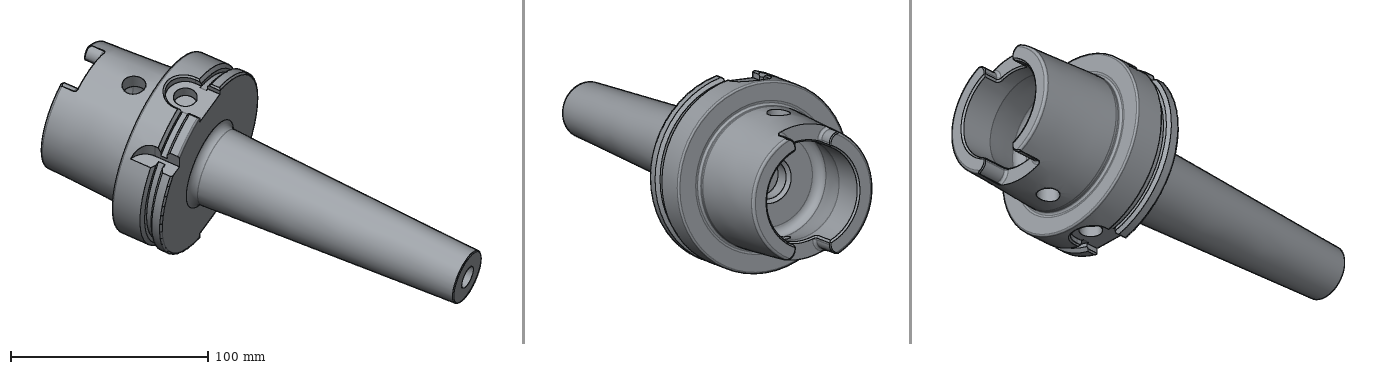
import cadquery as cq
import math


SHANK_LENGTH = 49.95
SHANK_TAPER = 0.05
SHANK_GAUGE_RADIUS = 37.6
SHANK_TIP_FILLET = 1.4
NECK_RADIUS = 37.4
NECK_START_X = -1.9
NECK_RAMP_LENGTH = 1.3
NECK_FILLET = 1.2
FACE_RELIEF_RADIUS = 39.8
FACE_RELIEF_DEPTH = 0.2

FLANGE_RADIUS = 50.0
FLANGE_WIDTH = 29.0
FLANGE_EDGE_FILLET = 1.0
GROOVE_CENTER_X = 20.0
GROOVE_FLOOR_RADIUS = 45.9
GROOVE_FLOOR_WIDTH = 3.75
GROOVE_MOUTH_WIDTH = 6.9
GROOVE_WALL_HEIGHT = 2.1

NOSE_LENGTH = 150.0
NOSE_ROOT_RADIUS = 21.0
NOSE_TIP_RADIUS = 14.6
NOSE_TIP_CHAMFER = 0.5
ROOT_BLEND_LENGTH = 4.7
ROOT_BLEND_RADIUS = 5.0

BORE_RADIUS = 26.5
BORE_DEPTH = 43.0
BORE_MOUTH_CHAMFER = 1.0
BORE_STRAIGHT_LENGTH = 19.4
BORE_FLARE_RADIUS = 29.5
BORE_BOTTOM_FILLET = 5.0
COUNTERBORE_RADIUS = 10.2
COUNTERBORE_DEPTH = 10.0
COUNTERBORE_CHAMFER = 1.9
THROUGH_RADIUS = 6.0

KEYWAY_WIDTH = 20.0
TOP_KEYWAY_DEPTH = 9.8
BOTTOM_KEYWAY_DEPTH = 15.0
KEYWAY_EDGE_RADIUS = 5.2
KEYWAY_CORNER_RADIUS = 1.5
KEYWAY_END_CHAMFER = 0.6
KEYWAY_BORE_CHAMFER = 0.9

CROSS_HOLE_X = -15.2
CROSS_HOLE_RADIUS = 6.0

SLOT_WIDTH = 20.6
SLOT_CENTER_X = 14.7
SLOT_FLOOR_HEIGHT = 45.0
SLOT_CHAMFER = 1.0
SLOT_HOLE_RADIUS = 6.0
SLOT_HOLE_DEPTH = 6.0
NOTCH_OFFSET = 31.3
NOTCH_CUTTER_RADIUS = 10.0

SELECTION_SLACK = 0.1


def shank_radius(x):
    return SHANK_GAUGE_RADIUS + SHANK_TAPER * x


def revolve_about_x(profile):
    return profile.close().revolve(360, (0, 0, 0), (1, 0, 0))


def round_inset(radius):
    """Distance a quarter round's midpoint lies in from each of its two tangent lines."""
    return radius * (1 - math.sqrt(0.5))


def root_blend_rise(distance):
    """Height of the nose root round at a distance back from where it leaves the nose."""
    return ROOT_BLEND_RADIUS - math.sqrt(ROOT_BLEND_RADIUS**2 - distance**2)


def turned_body():
    ramp_start = NECK_START_X - NECK_RAMP_LENGTH
    nose_tip = FLANGE_WIDTH + NOSE_LENGTH
    tip_radius = shank_radius(-SHANK_LENGTH)
    tip_inset = round_inset(SHANK_TIP_FILLET)
    neck_inset = round_inset(NECK_FILLET)
    edge = FLANGE_EDGE_FILLET
    edge_inset = round_inset(edge)
    blend_end = FLANGE_WIDTH + ROOT_BLEND_LENGTH
    blend_half = ROOT_BLEND_LENGTH / 2
    profile = (
        cq.Workplane("XY")
        .moveTo(-SHANK_LENGTH, 0)
        .lineTo(-SHANK_LENGTH, tip_radius - SHANK_TIP_FILLET)
        .threePointArc(
            (-SHANK_LENGTH + tip_inset, tip_radius - tip_inset),
            (-SHANK_LENGTH + SHANK_TIP_FILLET, shank_radius(SHANK_TIP_FILLET - SHANK_LENGTH)),
        )
        .lineTo(ramp_start, shank_radius(ramp_start))
        .lineTo(NECK_START_X, NECK_RADIUS)
        .lineTo(FACE_RELIEF_DEPTH - NECK_FILLET, NECK_RADIUS)
        .threePointArc(
            (FACE_RELIEF_DEPTH - neck_inset, NECK_RADIUS + neck_inset),
            (FACE_RELIEF_DEPTH, NECK_RADIUS + NECK_FILLET),
        )
        .lineTo(0, FACE_RELIEF_RADIUS)
        .lineTo(0, FLANGE_RADIUS - edge)
        .threePointArc((edge_inset, FLANGE_RADIUS - edge_inset), (edge, FLANGE_RADIUS))
        .lineTo(FLANGE_WIDTH - edge, FLANGE_RADIUS)
        .threePointArc(
            (FLANGE_WIDTH - edge_inset, FLANGE_RADIUS - edge_inset),
            (FLANGE_WIDTH, FLANGE_RADIUS - edge),
        )
        .lineTo(FLANGE_WIDTH, NOSE_ROOT_RADIUS + root_blend_rise(ROOT_BLEND_LENGTH))
        .threePointArc(
            (blend_end - blend_half, NOSE_ROOT_RADIUS + root_blend_rise(blend_half)),
            (blend_end, NOSE_ROOT_RADIUS),
        )
        .lineTo(nose_tip - NOSE_TIP_CHAMFER, NOSE_TIP_RADIUS)
        .lineTo(nose_tip, NOSE_TIP_RADIUS - NOSE_TIP_CHAMFER)
        .lineTo(nose_tip, 0)
    )
    return revolve_about_x(profile)


def gripper_groove():
    half_floor = GROOVE_FLOOR_WIDTH / 2
    half_mouth = GROOVE_MOUTH_WIDTH / 2
    wall_top = GROOVE_FLOOR_RADIUS + GROOVE_WALL_HEIGHT
    profile = cq.Workplane("XY").polyline([
        (GROOVE_CENTER_X - half_floor, GROOVE_FLOOR_RADIUS),
        (GROOVE_CENTER_X - half_floor, wall_top),
        (GROOVE_CENTER_X - half_mouth, FLANGE_RADIUS),
        (GROOVE_CENTER_X + half_mouth, FLANGE_RADIUS),
        (GROOVE_CENTER_X + half_floor, wall_top),
        (GROOVE_CENTER_X + half_floor, GROOVE_FLOOR_RADIUS),
    ])
    return revolve_about_x(profile)


def axial_bore():
    bore_end = BORE_DEPTH - SHANK_LENGTH
    counterbore_end = bore_end + COUNTERBORE_DEPTH
    nose_tip = FLANGE_WIDTH + NOSE_LENGTH
    fillet_inset = round_inset(BORE_BOTTOM_FILLET)
    profile = (
        cq.Workplane("XY")
        .moveTo(-SHANK_LENGTH, 0)
        .lineTo(-SHANK_LENGTH, BORE_RADIUS + BORE_MOUTH_CHAMFER)
        .lineTo(-SHANK_LENGTH + BORE_MOUTH_CHAMFER, BORE_RADIUS)
        .lineTo(-SHANK_LENGTH + BORE_STRAIGHT_LENGTH, BORE_RADIUS)
        .lineTo(bore_end - BORE_BOTTOM_FILLET, BORE_FLARE_RADIUS)
        .threePointArc(
            (bore_end - fillet_inset, BORE_FLARE_RADIUS - fillet_inset),
            (bore_end, BORE_FLARE_RADIUS - BORE_BOTTOM_FILLET),
        )
        .lineTo(bore_end, COUNTERBORE_RADIUS + COUNTERBORE_CHAMFER)
        .lineTo(bore_end + COUNTERBORE_CHAMFER, COUNTERBORE_RADIUS)
        .lineTo(counterbore_end, COUNTERBORE_RADIUS)
        .lineTo(counterbore_end, THROUGH_RADIUS)
        .lineTo(nose_tip, THROUGH_RADIUS)
        .lineTo(nose_tip, 0)
    )
    return revolve_about_x(profile)


def keyway(depth):
    """Keyway on the +Z side whose walls flare outward in a round at the outer surface."""
    half_width = KEYWAY_WIDTH / 2
    flare_half_width = half_width + KEYWAY_EDGE_RADIUS
    tip_radius = shank_radius(-SHANK_LENGTH)
    flare_top = math.sqrt(tip_radius**2 - flare_half_width**2)
    flare_base = flare_top - KEYWAY_EDGE_RADIUS
    inset = KEYWAY_EDGE_RADIUS * math.sqrt(0.5)
    outline = (
        cq.Workplane("YZ", origin=(-SHANK_LENGTH, 0, 0))
        .moveTo(-half_width, 0)
        .lineTo(-half_width, flare_base)
        .threePointArc(
            (inset - flare_half_width, flare_base + inset),
            (-flare_half_width, flare_top),
        )
        .lineTo(-flare_half_width, FLANGE_RADIUS)
        .lineTo(flare_half_width, FLANGE_RADIUS)
        .lineTo(flare_half_width, flare_top)
        .threePointArc(
            (flare_half_width - inset, flare_base + inset),
            (half_width, flare_base),
        )
        .lineTo(half_width, 0)
        .close()
    )
    return outline.extrude(depth).faces(">X").edges("not >Z").fillet(KEYWAY_CORNER_RADIUS)


def cross_hole():
    return (
        cq.Workplane("XY", origin=(CROSS_HOLE_X, 0, -FLANGE_RADIUS))
        .circle(CROSS_HOLE_RADIUS)
        .extrude(2 * FLANGE_RADIUS)
    )


def round_ended_cut(center_y, radius, floor_height):
    """Upright cut with a rounded inner end, open toward the nose."""
    height = FLANGE_RADIUS - floor_height
    length = FLANGE_WIDTH - SLOT_CENTER_X
    base = cq.Workplane("XY", origin=(SLOT_CENTER_X, center_y, floor_height))
    run = base.center(length / 2, 0).rect(length, 2 * radius).extrude(height)
    return base.circle(radius).extrude(height).union(run)


def index_notch():
    """Right-angled notch across the (-Y, +Z) rim, ending in the round of its cutter."""
    center_y = -NOTCH_OFFSET - NOTCH_CUTTER_RADIUS
    return round_ended_cut(center_y, NOTCH_CUTTER_RADIUS, NOTCH_OFFSET)


def to_underside(shape):
    return shape.rotate((0, 0, 0), (1, 0, 0), 180)


def box_edges(body, low_corner, high_corner):
    """Edges of the body whose centres lie in the given block."""
    return body.edges(cq.selectors.BoxSelector(low_corner, high_corner))


def cut_top_keyway(body, depth):
    """Cut the +Z keyway and break its edges at the shank end and along the bore."""
    half_width = KEYWAY_WIDTH / 2 + KEYWAY_EDGE_RADIUS
    low = BORE_RADIUS - KEYWAY_EDGE_RADIUS
    end = -SHANK_LENGTH
    keyed = body.cut(keyway(depth))
    keyed = box_edges(
        keyed,
        (end - SELECTION_SLACK, -half_width, low),
        (end + SELECTION_SLACK, half_width, FLANGE_RADIUS),
    ).chamfer(KEYWAY_END_CHAMFER)
    return box_edges(
        keyed,
        (end + BORE_MOUTH_CHAMFER + SELECTION_SLACK, -half_width, low),
        (end + depth + SELECTION_SLACK, half_width, BORE_RADIUS + SELECTION_SLACK),
    ).chamfer(KEYWAY_BORE_CHAMFER)


def flange_slot():
    """Chamfered +Z slot and the hole in its floor, formed as the waste from a plain cylinder."""
    half_width = SLOT_WIDTH / 2 + SELECTION_SLACK
    rim_low = (SLOT_FLOOR_HEIGHT + FLANGE_RADIUS) / 2
    cylinder = cq.Workplane("YZ").circle(FLANGE_RADIUS).extrude(FLANGE_WIDTH)
    slotted = cylinder.cut(round_ended_cut(0, SLOT_WIDTH / 2, SLOT_FLOOR_HEIGHT))
    slotted = box_edges(
        slotted,
        (SLOT_CENTER_X - half_width, -half_width, rim_low),
        (FLANGE_WIDTH - SELECTION_SLACK, half_width, FLANGE_RADIUS + SELECTION_SLACK),
    ).chamfer(SLOT_CHAMFER)
    hole = (
        cq.Workplane("XY", origin=(SLOT_CENTER_X, 0, SLOT_FLOOR_HEIGHT - SLOT_HOLE_DEPTH))
        .circle(SLOT_HOLE_RADIUS)
        .extrude(SLOT_HOLE_DEPTH)
    )
    return cylinder.cut(slotted).union(hole)


body = turned_body().cut(axial_bore())
body = to_underside(cut_top_keyway(body, TOP_KEYWAY_DEPTH))
body = to_underside(cut_top_keyway(body, BOTTOM_KEYWAY_DEPTH))
result = (
    body
    .cut(gripper_groove())
    .cut(cross_hole())
    .cut(flange_slot())
    .cut(to_underside(flange_slot()))
    .cut(index_notch())
)